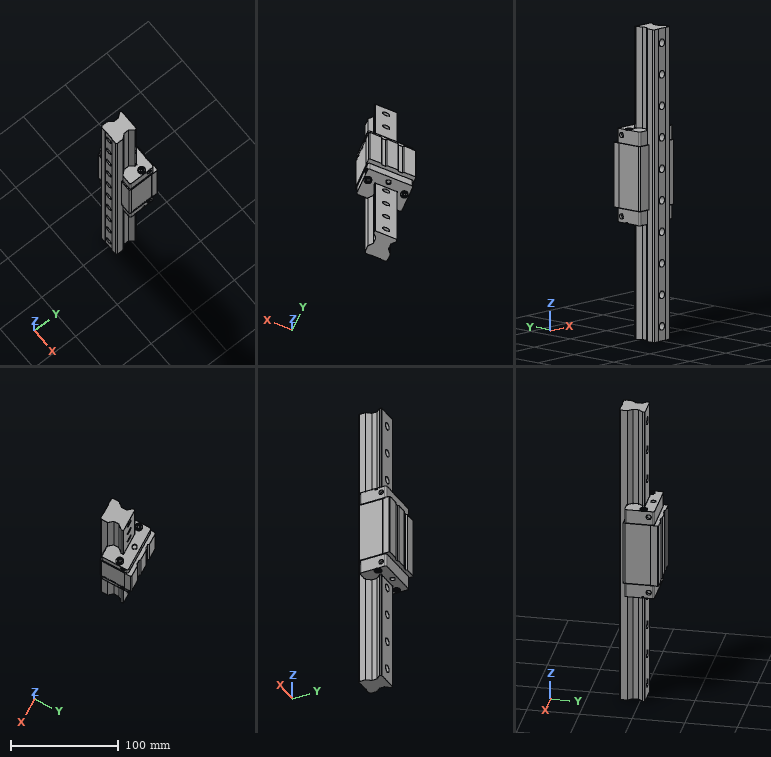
import cadquery as cq


rail_length = 298.0
rail_width = 23.0
rail_half_width = rail_width / 2
rail_height = 24.7
head_chamfer = 0.5
base_chamfer_width = 1.2
base_chamfer_height = 1.5
waist_half_width = 7.7
foot_height = 8.0
waist_bottom = 12.5
waist_top = 18.0
head_bottom = 22.4
relief_width = 9.8
relief_half_width = relief_width / 2
relief_depth = 0.3

hole_count = 10
hole_diameter = 7.2
hole_end_distance = 14.0
hole_pitch = (rail_length - 2 * hole_end_distance) / (hole_count - 1)

carriage_center_z = 7.7
carriage_length = 62.0
carriage_width = 48.0
carriage_half_width = carriage_width / 2
carriage_bottom = 6.3
carriage_top = 40.0
carriage_top_chamfer = 1.0
carriage_bottom_chamfer_width = 1.0
carriage_bottom_chamfer_height = 1.8
datum_edge_bottom = 32.5
side_setback = 0.15
groove_spacing = 17.0
groove_offset = groove_spacing / 2
groove_half_width = 3.0
groove_floor_half_width = 1.8
groove_depth = 1.2

cap_length = 13.7
cap_half_width = 23.0
cap_bottom = 7.5
cap_top = 35.8
cap_corner_radius = 1.8

port_diameter = 4.8
port_depth = 3.0
port_height = 30.5
side_port_distance = 7.7
screw_offset = 18.5
screw_height = 24.7
screw_ring_diameter = 7.2
screw_head_diameter = 4.8
screw_socket_diameter = 2.5
screw_ring_depth = 1.0


def mirrored_profile(half_outline):
    """Closed XY outline from its +X half, listed from bottom to top."""
    other_half = [(-x, y) for x, y in reversed(half_outline)]
    return cq.Workplane("XY").polyline(half_outline + other_half).close()


def centered_bar(half_outline, length):
    """Bar with a mirrored cross-section, centred on Z = 0."""
    return mirrored_profile(half_outline).extrude(length / 2, both=True)


def make_rail_bar():
    """Waisted rail section with a chamfered base and head and a shallow relief along it."""
    return centered_bar(
        [
            (relief_half_width, relief_depth),
            (relief_half_width, 0),
            (rail_half_width - base_chamfer_width, 0),
            (rail_half_width, base_chamfer_height),
            (rail_half_width, foot_height),
            (waist_half_width, waist_bottom),
            (waist_half_width, waist_top),
            (rail_half_width, head_bottom),
            (rail_half_width, rail_height - head_chamfer),
            (rail_half_width - head_chamfer, rail_height),
        ],
        rail_length,
    )


def make_rail(rail_bar):
    """Rail with its row of mounting holes through from base to top."""
    holes = (
        cq.Workplane("XZ")
        .rarray(3, hole_pitch, 1, hole_count)
        .circle(hole_diameter / 2)
        .extrude(-rail_height)
    )
    return rail_bar.cut(holes)


def make_carriage(rail_bar):
    """Block that straddles the rail, with two grooves along its mounting face."""
    lower_half_width = carriage_half_width - side_setback
    block = centered_bar(
        [
            (lower_half_width - carriage_bottom_chamfer_width, carriage_bottom),
            (lower_half_width, carriage_bottom + carriage_bottom_chamfer_height),
            (lower_half_width, datum_edge_bottom),
            (carriage_half_width, datum_edge_bottom),
            (carriage_half_width, carriage_top - carriage_top_chamfer),
            (carriage_half_width - carriage_top_chamfer, carriage_top),
            (groove_offset + groove_half_width, carriage_top),
            (groove_offset + groove_floor_half_width, carriage_top - groove_depth),
            (groove_offset - groove_floor_half_width, carriage_top - groove_depth),
            (groove_offset - groove_half_width, carriage_top),
        ],
        carriage_length,
    )
    return block.translate((0, 0, carriage_center_z)).cut(rail_bar)


def make_cap_blank():
    """Cap block standing on Z = 0 with rounded corners, open below so that it straddles the rail."""
    block = (
        cq.Workplane("XY")
        .center(0, (cap_bottom + cap_top) / 2)
        .rect(2 * cap_half_width, cap_top - cap_bottom)
        .extrude(cap_length)
        .edges("|Z")
        .fillet(cap_corner_radius)
    )
    foot_slope = (rail_half_width - waist_half_width) / (waist_bottom - foot_height)
    mouth_half_width = waist_half_width + foot_slope * (waist_bottom - cap_bottom)
    opening = mirrored_profile(
        [
            (mouth_half_width, cap_bottom),
            (waist_half_width, waist_bottom),
            (waist_half_width, waist_top),
            (rail_half_width, head_bottom),
            (rail_half_width, rail_height),
        ]
    ).extrude(cap_length)
    return block.cut(opening)


def make_cap():
    """End cap with its inner face on Z = 0 and its outer face at Z = cap_length."""
    ring_floor = cap_length - screw_ring_depth
    end_port = (
        cq.Workplane("XY", origin=(0, port_height, cap_length))
        .circle(port_diameter / 2)
        .extrude(-port_depth)
    )
    side_port = (
        cq.Workplane("YZ", origin=(-cap_half_width, port_height, side_port_distance))
        .circle(port_diameter / 2)
        .extrude(port_depth)
    )
    screws = cq.Workplane("XY", origin=(0, screw_height, ring_floor)).pushPoints(
        [(-screw_offset, 0), (screw_offset, 0)]
    )
    rings = (
        screws.circle(screw_ring_diameter / 2)
        .circle(screw_head_diameter / 2)
        .extrude(screw_ring_depth)
    )
    sockets = screws.circle(screw_socket_diameter / 2).extrude(screw_ring_depth)
    cap = make_cap_blank().cut(end_port).cut(rings).cut(sockets)
    return cap.cut(side_port).cut(side_port.mirror("YZ"))


rail_bar = make_rail_bar()
rail = make_rail(rail_bar)
carriage = make_carriage(rail_bar)

upper_cap = make_cap().translate((0, 0, carriage_center_z + carriage_length / 2))
caps = [upper_cap, upper_cap.mirror("XY", (0, 0, carriage_center_z))]

result = cq.Compound.makeCompound([rail.val(), carriage.val(), *[cap.val() for cap in caps]])